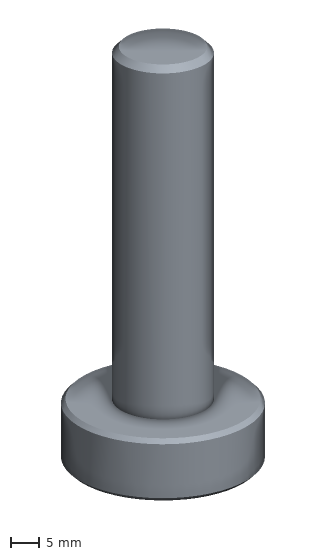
import cadquery as cq

total_length = 80.0
head_diameter = 36.0
head_height = 12.0
shank_diameter = head_diameter / 2

head_chamfer = 0.8
shank_chamfer = 1.2


def make_head():
    """Disc head resting on Z = 0, chamfered on both rims."""
    disc = cq.Workplane("XY").circle(head_diameter / 2).extrude(head_height)
    return disc.edges().chamfer(head_chamfer)


def make_shank():
    """Plain cylindrical shank standing on the head, chamfered at its free end."""
    shank_length = total_length - head_height
    shank = (
        cq.Workplane("XY")
        .workplane(offset=head_height)
        .circle(shank_diameter / 2)
        .extrude(shank_length)
    )
    return shank.faces(">Z").edges().chamfer(shank_chamfer)


result = make_head().union(make_shank())